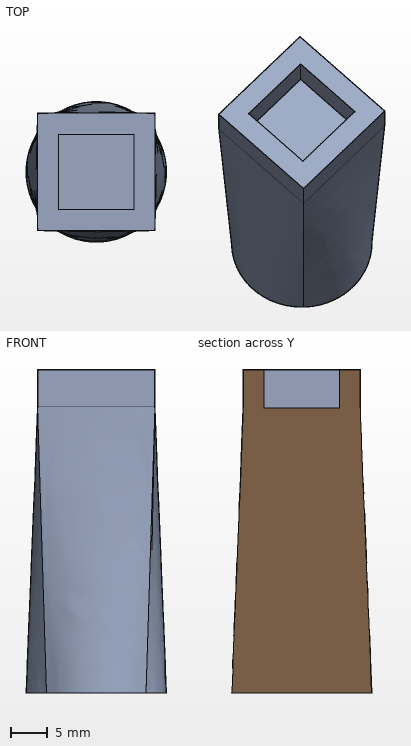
import cadquery as cq
import math

total_height = 44.0
base_diameter = 19.15
head_side = 15.95
head_height = 5.0
pocket_side = 10.2
pocket_depth = 5.2

body_height = total_height - head_height
base_radius = base_diameter / 2
arc_end = base_radius / math.sqrt(2)
half_side = head_side / 2


def make_body():
    """Body blending from a round base to the square head.

    The base circle is four quarter arcs, so each arc pairs with one side
    of the square and each corner with a point on the diagonal.
    """
    return (
        cq.Workplane("XY")
        .moveTo(-arc_end, -arc_end)
        .threePointArc((0, -base_radius), (arc_end, -arc_end))
        .threePointArc((base_radius, 0), (arc_end, arc_end))
        .threePointArc((0, base_radius), (-arc_end, arc_end))
        .threePointArc((-base_radius, 0), (-arc_end, -arc_end))
        .close()
        .workplane(offset=body_height)
        .moveTo(-half_side, -half_side)
        .lineTo(half_side, -half_side)
        .lineTo(half_side, half_side)
        .lineTo(-half_side, half_side)
        .close()
        .loft(ruled=True, combine=True)
    )


def make_head():
    """Straight square head on top of the body."""
    return (
        cq.Workplane("XY")
        .workplane(offset=body_height)
        .rect(head_side, head_side)
        .extrude(head_height)
    )


def make_pocket():
    """Square blind pocket sunk from the top face."""
    return (
        cq.Workplane("XY")
        .workplane(offset=total_height)
        .rect(pocket_side, pocket_side)
        .extrude(-pocket_depth)
    )


result = make_body().union(make_head()).cut(make_pocket())